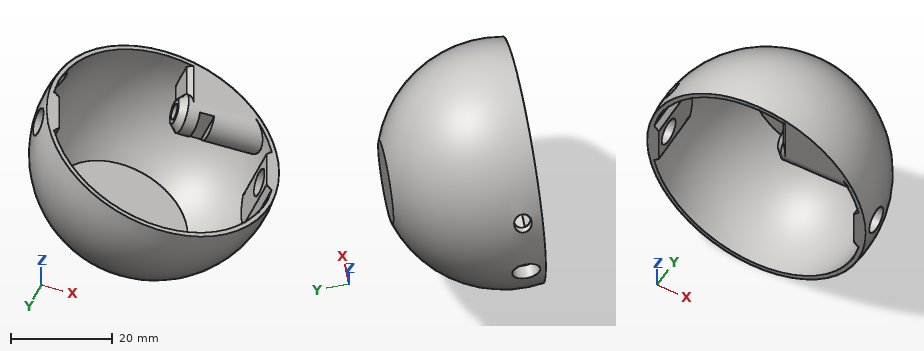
import cadquery as cq
import math

outer_radius = 25.0
wall = 1.0
inner_radius = outer_radius - wall
rim_y = -4.0
back_y = 23.55
floor_y = 19.15

pad_face_x = 22.0
pad_half_height = 5.25
pad_chamfer = 1.05
pivot_diameter = 5.6

boss_z = 13.0
boss_radius = -rim_y
boss_end_x = 4.0
boss_chamfer = 1.5
block_x = boss_end_x + boss_chamfer
block_chamfer = 1.0
block_back_y = 3.0
screw_bore_diameter = 3.3
access_hole_diameter = 3.5
nut_slot_x = 8.1
nut_slot_width = 3.0
nut_slot_top_z = 11.1


def ball_between(radius, start_y, end_y):
    """Solid ball about the origin, cut off flat at two Y positions."""
    start_radius = math.sqrt(radius**2 - start_y**2)
    end_radius = math.sqrt(radius**2 - end_y**2)
    middle_angle = (math.asin(start_y / radius) + math.asin(end_y / radius)) / 2
    middle = (radius * math.cos(middle_angle), radius * math.sin(middle_angle))
    half_profile = (
        cq.Workplane("XY")
        .moveTo(0, start_y)
        .lineTo(start_radius, start_y)
        .threePointArc(middle, (end_radius, end_y))
        .lineTo(0, end_y)
        .close()
    )
    return half_profile.revolve(360, (0, 0, 0), (0, 1, 0))


def rod_along_x(diameter, start_x, end_x, z):
    """Cylinder parallel to X in the plane y = 0."""
    rod = cq.Workplane("YZ", origin=(start_x, 0, z))
    return rod.circle(diameter / 2).extrude(end_x - start_x)


def pad():
    """Pad on the +X side, bevelled along its two long inner edges."""
    block = cq.Workplane("XY").box(
        outer_radius - pad_face_x, floor_y - rim_y, 2 * pad_half_height, centered=(False, False, True)
    )
    return block.translate((pad_face_x, rim_y, 0)).edges("|Y and <X").chamfer(pad_chamfer)


def corner_block():
    """Block between the boss axis and the wall, bevelled at its front -X edge."""
    block = cq.Workplane("XY").box(
        outer_radius - block_x, block_back_y - rim_y, outer_radius - boss_z, centered=False
    )
    block = block.translate((block_x, rim_y, boss_z))
    return block.edges("|Z and <X and <Y").chamfer(block_chamfer)


def screw_boss():
    """Boss with a tapered end and a nut slot across its underside."""
    boss = rod_along_x(2 * boss_radius, boss_end_x, outer_radius, boss_z)
    boss = boss.faces("<X").chamfer(boss_chamfer)
    slot = cq.Workplane("XY").box(nut_slot_width, 2 * boss_radius, boss_radius, centered=(False, True, False))
    return boss.cut(slot.translate((nut_slot_x, 0, nut_slot_top_z - boss_radius)))


envelope = ball_between(outer_radius, rim_y, back_y)
cavity = ball_between(inner_radius, rim_y, floor_y)
shell = envelope.cut(cavity)
pivot_hole = rod_along_x(pivot_diameter, -outer_radius, outer_radius, 0)
access_hole = rod_along_x(access_hole_diameter, -outer_radius, 0, boss_z)
screw_bore = rod_along_x(screw_bore_diameter, boss_end_x, outer_radius, boss_z).intersect(cavity)

result = shell.cut(access_hole)
for fitting in (pad(), pad().mirror("YZ"), corner_block(), screw_boss()):
    result = result.union(fitting.intersect(envelope))
result = result.cut(pivot_hole).cut(screw_bore)